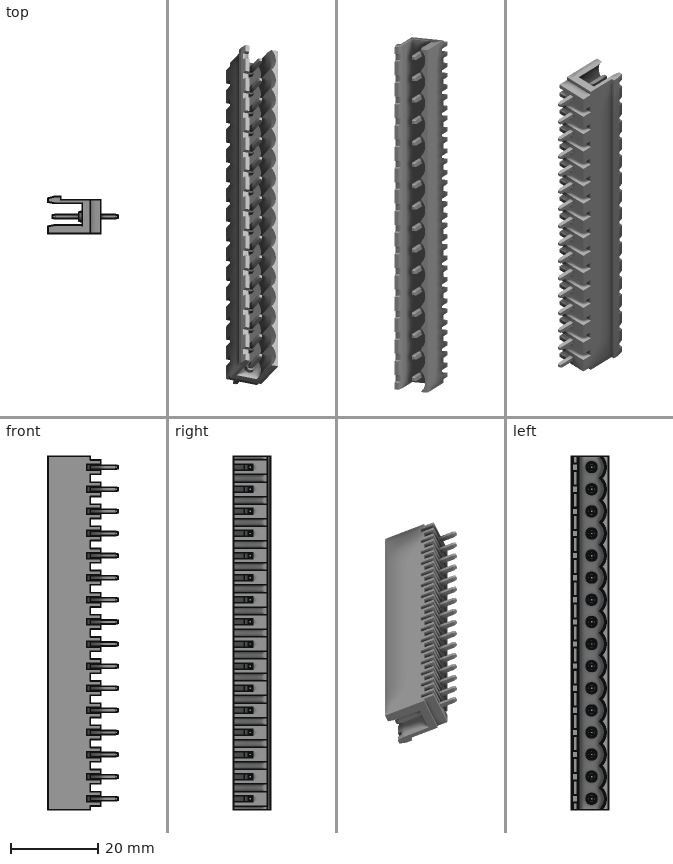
import cadquery as cq

pin_count = 16
row_length = 81.3
pitch = row_length / pin_count
pin_heights = [(i + 0.5) * pitch for i in range(pin_count)]

body_depth = 9.75
body_width = 7.8
pin_y = body_width / 2
cavity_depth = 7.9
mouth_taper = 1.6

latch_inner_y = 6.9
latch_outer_y = 8.5
latch_length = 3.0
tip_inner_y = 7.2
tip_outer_y = 8.1
notch_depth = 1.0
notch_mouth_height = 1.8
notch_back_height = 1.55

scallop_radius = 3.5
scallop_wall = 0.9
scallop_mouth_wall = 0.6

tab_length = 2.4
tab_height = 3.3
slot_height = 1.4
nick_length = 0.8
nick_depth = 2.4

pin_start = 1.0
pin_end = 16.2
pin_size = 1.0
pin_tip_size = 0.65
front_taper = 0.7
rear_taper = 0.65
collar_length = 0.8
collar_radius = 1.2
collar_front_radius = 1.0


def block(x_min, x_max, y_min, y_max, z_min, z_max):
    """Axis-aligned box between two corners."""
    size = (x_max - x_min, y_max - y_min, z_max - z_min)
    return cq.Workplane("XY").box(*size, centered=False).translate((x_min, y_min, z_min))


def across_pins(x, z):
    """Workplane facing +X, centred on the axis of the pin at height z."""
    return cq.Workplane("YZ", origin=(x, pin_y, z))


def housing():
    """U-shaped channel with the latch lip, not yet scalloped."""
    outline = [
        (0, 0),
        (body_depth, 0),
        (body_depth, body_width),
        (latch_length, body_width),
        (latch_length, latch_outer_y),
        (mouth_taper, latch_outer_y),
        (0, tip_outer_y),
        (0, tip_inner_y),
        (mouth_taper, latch_inner_y),
        (cavity_depth, latch_inner_y),
        (cavity_depth, pin_y),
        (0, pin_y),
    ]
    return cq.Workplane("XY").polyline(outline).close().extrude(row_length)


def scallop(z):
    """Round recess below a pin, sloping outwards at the mouth."""
    bore_center = scallop_wall + scallop_radius - pin_y
    mouth_center = scallop_mouth_wall + scallop_radius - pin_y
    bore = across_pins(0, z).center(bore_center, 0).circle(scallop_radius).extrude(cavity_depth)
    flare = (
        across_pins(0, z)
        .center(mouth_center, 0)
        .circle(scallop_radius)
        .workplane(offset=mouth_taper)
        .center(bore_center - mouth_center, 0)
        .circle(scallop_radius)
        .loft()
    )
    one_pitch = block(0, cavity_depth, 0, pin_y, z - pitch / 2, z + pitch / 2)
    return bore.union(flare).intersect(one_pitch)


def latch_notch(z):
    """Gap in the latch wall tip in line with a pin, narrowing inwards."""
    half_mouth = notch_mouth_height / 2
    half_back = notch_back_height / 2
    outline = [
        (0, z - half_mouth),
        (notch_depth, z - half_back),
        (notch_depth, z + half_back),
        (0, z + half_mouth),
    ]
    span = latch_outer_y - pin_y
    return cq.Workplane("XZ", origin=(0, latch_outer_y, 0)).polyline(outline).close().extrude(span)


def tab(z):
    """Standoff block around a pin."""
    half = tab_height / 2
    return block(body_depth, body_depth + tab_length, 0, body_width, z - half, z + half)


def back_slot(z):
    """Slot from the -Y face that bares the pin in its tab and nicks the housing."""
    half = slot_height / 2
    nick = block(body_depth - nick_length, body_depth, 0, nick_depth, z - half, z + half)
    groove = block(body_depth, body_depth + tab_length, 0, pin_y + pin_size / 2, z - half, z + half)
    return nick.union(groove)


def pin(z):
    """Square pin tapered at both ends."""
    front = (
        across_pins(pin_start, z)
        .rect(pin_tip_size, pin_tip_size)
        .workplane(offset=front_taper)
        .rect(pin_size, pin_size)
        .loft()
    )
    shank_start = pin_start + front_taper
    shank_end = pin_end - rear_taper
    shank = across_pins(shank_start, z).rect(pin_size, pin_size).extrude(shank_end - shank_start)
    rear = (
        across_pins(shank_end, z)
        .rect(pin_size, pin_size)
        .workplane(offset=rear_taper)
        .rect(pin_tip_size, pin_tip_size)
        .loft()
    )
    return front.union(shank).union(rear)


def collar(z):
    """Conical collar where the pin leaves the cavity floor."""
    return (
        across_pins(cavity_depth - collar_length, z)
        .circle(collar_front_radius)
        .workplane(offset=collar_length)
        .circle(collar_radius)
        .loft()
    )


result = housing()
for z in pin_heights:
    result = result.cut(scallop(z)).cut(latch_notch(z))
    result = result.union(tab(z)).cut(back_slot(z))
    result = result.union(collar(z)).union(pin(z))